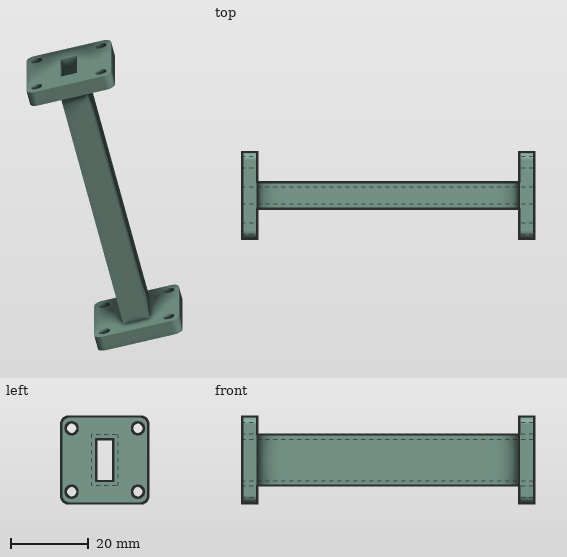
import cadquery as cq

total_length = 75.0
flange_side = 22.4
flange_thickness = 3.9
flange_corner_radius = 2.1

bore_width = 4.35
bore_height = 10.65
wall_thickness = 1.3
tube_width = bore_width + 2 * wall_thickness
tube_height = bore_height + 2 * wall_thickness

hole_diameter = 3.0
hole_spacing_y = 17.0
hole_spacing_z = 16.3


def make_flange(center_x):
    """Square plate with rounded corners and four bolt holes along X."""
    plate = cq.Workplane("YZ").box(flange_side, flange_side, flange_thickness)
    return (
        plate.edges("|X")
        .fillet(flange_corner_radius)
        .faces(">X")
        .workplane(origin=(0, 0, 0))
        .rect(hole_spacing_y, hole_spacing_z, forConstruction=True)
        .vertices()
        .hole(hole_diameter)
        .translate((center_x, 0, 0))
    )


flange_center_x = (total_length - flange_thickness) / 2

tube = cq.Workplane("XY").box(total_length, tube_width, tube_height)
bore = cq.Workplane("XY").box(total_length, bore_width, bore_height)

body = tube
for end in (-1, 1):
    body = body.union(make_flange(end * flange_center_x))

result = body.cut(bore)